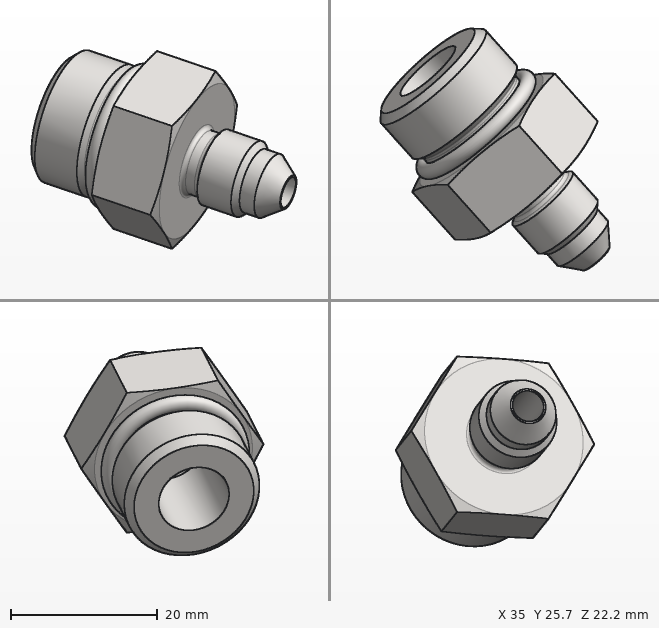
import cadquery as cq
import math

total_length = 35.05
port_thread_end = 7.55
hex_start = 11.11
hex_end = 21.0
stud_thread_start = 23.9
stud_thread_end = 29.09

port_thread_radius = 19.05 / 2
port_chamfer = 1.1
groove_radius = 8.43
groove_runout_angle = 52.0
groove_fillet = 0.58

ring_section_radius = 2.21 / 2
ring_outer_radius = 10.4
ring_centre_radius = ring_outer_radius - ring_section_radius
ring_centre_x = hex_start - ring_section_radius

across_flats = 22.225
across_corners = across_flats / math.cos(math.radians(30))
hex_chamfer_angle = 15.0

neck_radius = 4.6
neck_fillet = 0.64
neck_runout_angle = 58.0
stud_thread_radius = 5.46
nose_half_angle = 37.0
nose_tip_radius = 2.46
nose_length = (neck_radius - nose_tip_radius) / math.tan(math.radians(nose_half_angle))

passage_radius = 4.37 / 2
port_bore_radius = 9.9 / 2
port_bore_depth = 14.0
drill_half_angle = 59.0


def runout(floor_radius, thread_radius, edge_x, fillet, angle_degrees, direction):
    """Points of a sloped runout from a thread edge to a floor, blended by a fillet.

    Returns the slope's lower end, the fillet's middle and the point where it meets the floor.
    direction is +1 when the floor lies towards +X of the thread edge, -1 otherwise.
    """
    angle = math.radians(angle_degrees)
    slope_end_radius = floor_radius + fillet * (1 - math.cos(angle))
    slope_length_x = (thread_radius - slope_end_radius) / math.tan(angle)
    floor_x = edge_x + direction * (slope_length_x + fillet * math.sin(angle))
    slope_end = (edge_x + direction * slope_length_x, slope_end_radius)
    fillet_middle = (
        floor_x - direction * fillet * math.sin(angle / 2),
        floor_radius + fillet * (1 - math.cos(angle / 2)),
    )
    return slope_end, fillet_middle, (floor_x, floor_radius)


def revolve_about_x(profile):
    return profile.revolve(360, (0, 0, 0), (1, 0, 0))


def make_port_end():
    slope_end, fillet_middle, floor_start = runout(
        groove_radius, port_thread_radius, port_thread_end, groove_fillet, groove_runout_angle, 1
    )
    seat_half_width = math.sqrt(ring_section_radius**2 - (ring_centre_radius - groove_radius) ** 2)
    seat_bottom = (ring_centre_x, ring_centre_radius - ring_section_radius)
    profile = (
        cq.Workplane("XY")
        .lineTo(0, port_thread_radius - port_chamfer)
        .lineTo(port_chamfer, port_thread_radius)
        .lineTo(port_thread_end, port_thread_radius)
        .lineTo(*slope_end)
        .threePointArc(fillet_middle, floor_start)
        .lineTo(ring_centre_x - seat_half_width, groove_radius)
        .threePointArc(seat_bottom, (ring_centre_x + seat_half_width, groove_radius))
        .lineTo(hex_start, groove_radius)
        .lineTo(hex_start, 0)
        .close()
    )
    return revolve_about_x(profile)


def make_hexagon():
    prism = (
        cq.Workplane("YZ")
        .workplane(offset=hex_start)
        .polygon(6, across_corners)
        .extrude(hex_end - hex_start)
    )
    face_radius = across_flats / 2
    corner_radius = across_corners / 2
    chamfer_depth = (corner_radius - face_radius) * math.tan(math.radians(hex_chamfer_angle))
    envelope = revolve_about_x(
        cq.Workplane("XY")
        .moveTo(hex_start, 0)
        .lineTo(hex_start, face_radius)
        .lineTo(hex_start + chamfer_depth, corner_radius)
        .lineTo(hex_end - chamfer_depth, corner_radius)
        .lineTo(hex_end, face_radius)
        .lineTo(hex_end, 0)
        .close()
    )
    return prism.intersect(envelope)


def make_stud_end():
    slope_end, fillet_middle, neck_end = runout(
        neck_radius, stud_thread_radius, stud_thread_start, neck_fillet, neck_runout_angle, -1
    )
    corner_fillet_middle = (
        hex_end + neck_fillet * (1 - math.cos(math.radians(45))),
        neck_radius + neck_fillet * (1 - math.sin(math.radians(45))),
    )
    nose_start = stud_thread_end + stud_thread_radius - neck_radius
    profile = (
        cq.Workplane("XY")
        .moveTo(hex_end, 0)
        .lineTo(hex_end, neck_radius + neck_fillet)
        .threePointArc(corner_fillet_middle, (hex_end + neck_fillet, neck_radius))
        .lineTo(*neck_end)
        .threePointArc(fillet_middle, slope_end)
        .lineTo(stud_thread_start, stud_thread_radius)
        .lineTo(stud_thread_end, stud_thread_radius)
        .lineTo(nose_start, neck_radius)
        .lineTo(total_length - nose_length, neck_radius)
        .lineTo(total_length, nose_tip_radius)
        .lineTo(total_length, 0)
        .close()
    )
    return revolve_about_x(profile)


def make_bore():
    """Port bore with a drill-point bottom, continued by the narrow passage."""
    point_length = (port_bore_radius - passage_radius) / math.tan(math.radians(drill_half_angle))
    profile = (
        cq.Workplane("XY")
        .lineTo(0, port_bore_radius)
        .lineTo(port_bore_depth, port_bore_radius)
        .lineTo(port_bore_depth + point_length, passage_radius)
        .lineTo(total_length, passage_radius)
        .lineTo(total_length, 0)
        .close()
    )
    return revolve_about_x(profile)


def make_fitting():
    return make_port_end().union(make_hexagon()).union(make_stud_end()).cut(make_bore())


def make_o_ring():
    section = cq.Workplane("XY").moveTo(ring_centre_x, ring_centre_radius).circle(ring_section_radius)
    return revolve_about_x(section)


fitting = make_fitting()
o_ring = make_o_ring()
result = cq.Compound.makeCompound([fitting.val(), o_ring.val()])